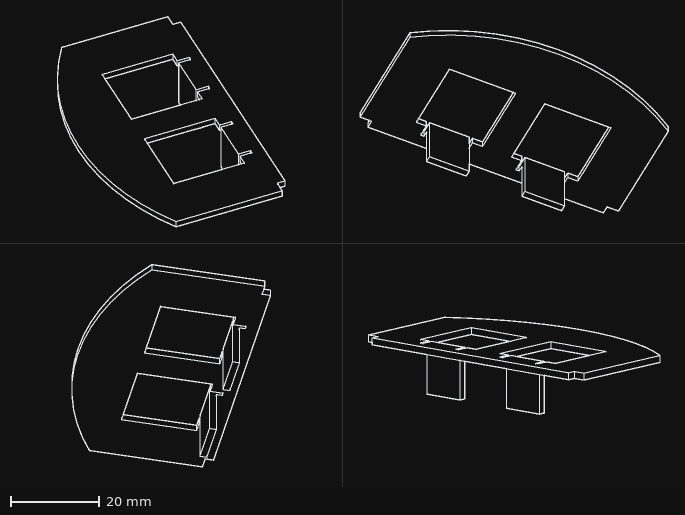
import cadquery as cq

plate_width = 65.0
plate_depth = 38.2
sheet_thickness = 1.6
side_depth = 28.3
corner_notch_width = 2.85
corner_notch_depth = 1.95

window_spacing = 24.0
window_width = 16.65
window_depth = 17.5
window_back = 6.05
tab_width = 10.0
overall_height = 12.0
slot_width = 0.8
slot_depth = 3.0

half_width = plate_width / 2
window_centers = (-window_spacing / 2, window_spacing / 2)


def make_plate():
    """Flat plate with notched back corners and a bowed front edge."""
    notch_x = half_width - corner_notch_width
    return (
        cq.Workplane("XY")
        .moveTo(-notch_x, 0)
        .lineTo(notch_x, 0)
        .lineTo(notch_x, -corner_notch_depth)
        .lineTo(half_width, -corner_notch_depth)
        .lineTo(half_width, -side_depth)
        .threePointArc((0, -plate_depth), (-half_width, -side_depth))
        .lineTo(-half_width, -corner_notch_depth)
        .lineTo(-notch_x, -corner_notch_depth)
        .close()
        .extrude(-sheet_thickness)
    )


def make_window(center_x):
    """Cutter for one window and the relief slots on both sides of its tab."""
    window = (
        cq.Workplane("XY")
        .center(center_x, -window_back - window_depth / 2)
        .rect(window_width, window_depth)
        .extrude(-sheet_thickness)
    )
    slot_offset = (tab_width + slot_width) / 2
    slots = (
        cq.Workplane("XY")
        .center(center_x, -window_back + slot_depth / 2)
        .pushPoints([(-slot_offset, 0), (slot_offset, 0)])
        .rect(slot_width, slot_depth)
        .extrude(-sheet_thickness)
    )
    return window.union(slots)


def make_tab(center_x):
    """Downward tab whose front face is flush with the back of the window."""
    return (
        cq.Workplane("XY")
        .center(center_x, -window_back + sheet_thickness / 2)
        .rect(tab_width, sheet_thickness)
        .extrude(-overall_height)
    )


result = make_plate()
for window_x in window_centers:
    result = result.cut(make_window(window_x)).union(make_tab(window_x))